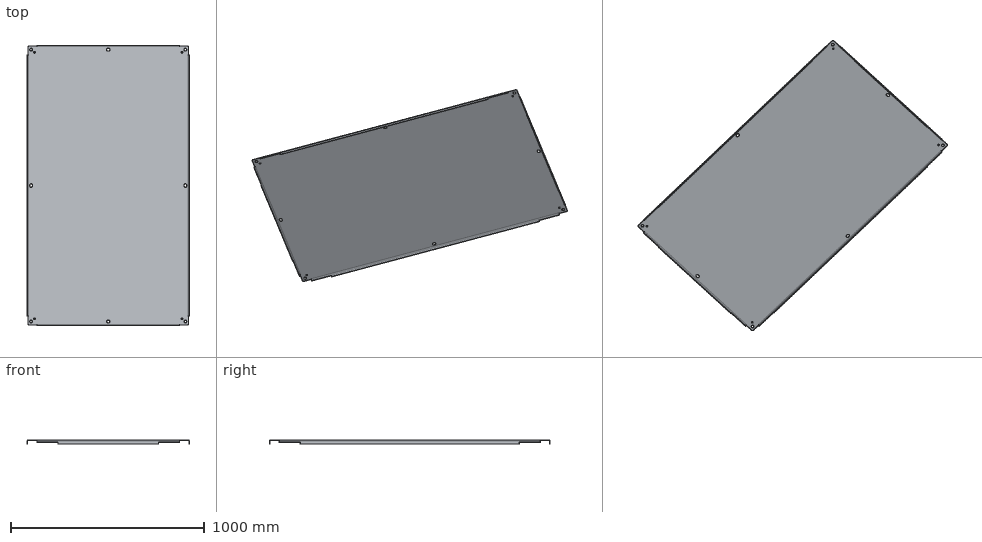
import cadquery as cq
import math

width = 836.0
length = 1446.0
height = 22.0
thickness = 2.0

bend_radius = 6.0
corner_inset = 3.0
corner_radius = 7.0

corner_gap = 49.0
step_length = 108.0
shallow_depth = 11.9

hole_diameter = 12.7
hole_inset_x = 20.0
hole_inset_y = 22.0
slot_length = 17.0
pilot_diameter = 7.1
pilot_inset_x = 38.0
pilot_inset_y = 36.0

half_width = width / 2
half_length = length / 2
hole_x = half_width - hole_inset_x
hole_y = half_length - hole_inset_y


def make_panel():
    """Flat sheet with rounded corners, cut back to the fold line along every flange."""
    panel = (
        cq.Workplane("XY")
        .workplane(offset=-thickness)
        .rect(width - 2 * corner_inset, length - 2 * corner_inset)
        .extrude(thickness)
        .edges("|Z")
        .fillet(corner_radius)
    )
    fold_spans = (
        ((half_width, 0), 2 * bend_radius, length - 2 * corner_gap),
        ((-half_width, 0), 2 * bend_radius, length - 2 * corner_gap),
        ((0, half_length), width - 2 * corner_gap, 2 * bend_radius),
        ((0, -half_length), width - 2 * corner_gap, 2 * bend_radius),
    )
    for centre, size_x, size_y in fold_spans:
        strip = cq.Workplane("XY").center(*centre).rect(size_x, size_y).extrude(-thickness)
        panel = panel.cut(strip)
    return panel


def make_flange(side_distance, side_length, turn):
    """Folded flange with a deep middle and shallow ends, built on +X and turned about Z."""
    inner_radius = bend_radius - thickness
    diagonal = math.sqrt(0.5)
    fold_x = side_distance - bend_radius
    half_flange = side_length / 2 - corner_gap
    folded = (
        cq.Workplane("XZ")
        .moveTo(fold_x, 0)
        .threePointArc(
            (fold_x + bend_radius * diagonal, -bend_radius + bend_radius * diagonal),
            (side_distance, -bend_radius),
        )
        .lineTo(side_distance, -height)
        .lineTo(side_distance - thickness, -height)
        .lineTo(side_distance - thickness, -bend_radius)
        .threePointArc(
            (fold_x + inner_radius * diagonal, -bend_radius + inner_radius * diagonal),
            (fold_x, -thickness),
        )
        .close()
        .extrude(half_flange, both=True)
    )
    half_deep = half_flange - step_length
    outline = (
        cq.Workplane("YZ")
        .polyline(
            [
                (-half_flange, 0),
                (half_flange, 0),
                (half_flange, -shallow_depth),
                (half_deep, -shallow_depth),
                (half_deep, -height),
                (-half_deep, -height),
                (-half_deep, -shallow_depth),
                (-half_flange, -shallow_depth),
            ]
        )
        .close()
        .extrude(side_distance)
    )
    return folded.intersect(outline).rotate((0, 0, 0), (0, 0, 1), turn)


def sketch_at(points):
    """Sketch positions on the top face of the panel."""
    return cq.Workplane("XY").pushPoints(points)


def cut_holes(body):
    """Corner holes with a pilot hole beside each, and a slot at the middle of every side."""
    corner_signs = [(sx, sy) for sx in (-1, 1) for sy in (-1, 1)]
    pilot_x = half_width - pilot_inset_x
    pilot_y = half_length - pilot_inset_y
    cutters = (
        sketch_at([(sx * hole_x, sy * hole_y) for sx, sy in corner_signs]).circle(hole_diameter / 2),
        sketch_at([(sx * pilot_x, sy * pilot_y) for sx, sy in corner_signs]).circle(pilot_diameter / 2),
        sketch_at([(0, hole_y), (0, -hole_y)]).slot2D(slot_length, hole_diameter),
        sketch_at([(hole_x, 0), (-hole_x, 0)]).slot2D(slot_length, hole_diameter, 90),
    )
    for cutter in cutters:
        body = body.cut(cutter.extrude(-thickness))
    return body


result = cut_holes(make_panel())
for turn in (0, 180):
    result = result.union(make_flange(half_width, length, turn))
    result = result.union(make_flange(half_length, width, turn + 90))